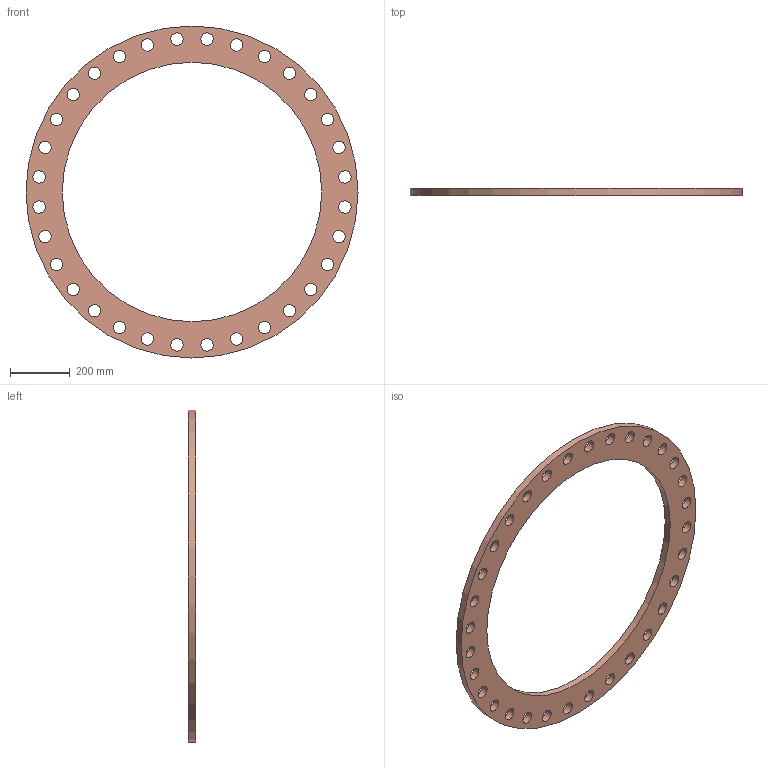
import cadquery as cq

outer_diameter = 1111.25
bore_diameter = 868.43
thickness = 23.83

bolt_hole_count = 32
bolt_hole_diameter = 41.27
bolt_circle_diameter = 1028.7
full_turn = 360
first_hole_angle = full_turn / bolt_hole_count / 2


def make_ring():
    """Plain ring, centred on the origin."""
    return (
        cq.Workplane("XZ", origin=(0, thickness / 2, 0))
        .circle(outer_diameter / 2)
        .circle(bore_diameter / 2)
        .extrude(thickness)
    )


def cut_bolt_holes(ring):
    """Cut the bolt circle through the full thickness of the ring."""
    return (
        ring.faces("<Y")
        .workplane(centerOption="CenterOfBoundBox")
        .polarArray(bolt_circle_diameter / 2, first_hole_angle, full_turn, bolt_hole_count)
        .hole(bolt_hole_diameter)
    )


result = cut_bolt_holes(make_ring())